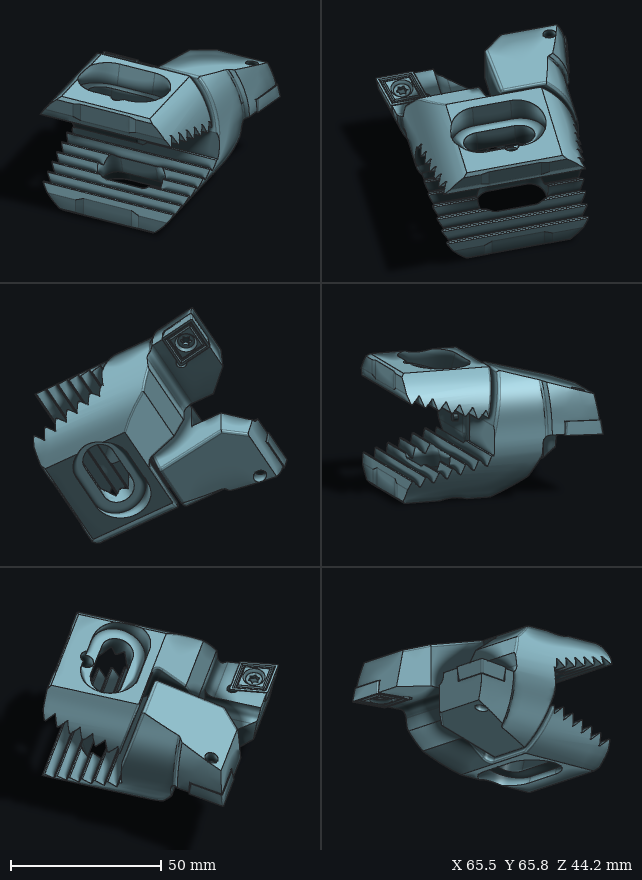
import cadquery as cq
import math


body_radius = 27.5
body_offset = -0.5
half_height = 22.1
arm_side = -2.55
tilt = 15
heel_y = 28.95
rear_slope_z = -4.3
jaw_front_y = 31.9
corner_radius = 2.6
end_chamfer = 1.05
edge_round = 0.65
underside_round = 0.9

shoulder_y = 46.05
shoulder_top_z = 7.55
ramp_y = 42.4
ramp_z = 14.5
ramp_start_y = 31.45
floor_z = -0.3
floor_round = 3.15
tip_y = 65.4
tip_low_y = 63.8
tip_low_z = -13.15
neck_y = 46.9
neck_round = 1.1
cone_y = 48.8
cone_radius = 28.95
cone_end_radius = 31.5
side_chamfer_y = 57.25
low_floor_z = -4.3
low_floor_x = -8.8
low_wall_x = -13.0

tooth_pitch = 4.685
tooth_count = 7
root_along = 23.55
root_up = 16.0
tip_up = 12.8
root_flat = 0.25
tip_flat = 0.5

slot_x = -2.05
slot_along = 11.9
slot_spacing = 13.0
slot_radius = 5.5
recess_radius = 9.55
recess_floor_up = 21.05
jaw_hole_x = 0.2
jaw_hole_along = 3.35
jaw_hole_radius = 2.5

relief_half_width = 11.65
relief_floor_half_width = 8.95
relief_depth = 0.3

insert_side = 12.9
insert_lean = 10
insert_thickness = 4.75
insert_clearance = 7
insert_nose_radius = 0.4
insert_tip_x = -32.81
insert_tip_y = 65.8
land_width = 0.8
groove_width = 1.45
groove_depth = 0.45
seat_radius = 3.7
screw_radius = 2.2
head_radius = 2.8
screw_head_z = -1.05
screw_neck_z = -2.6
screw_end_z = -10.5
screw_chamfer = 0.25
socket_radius = 1.9
socket_root_radius = 1.4
socket_depth = 1.3
relief_hole_radius = 1.8
relief_hole_inset = 0.85

pin_x = -8.9
pin_radius = 1.25
pin_out = 1.65
pin_in = 3.95

tolerance = 0.05
far = 78.95
slope = math.tan(math.radians(tilt))
along_y, along_z = math.cos(math.radians(tilt)), -math.sin(math.radians(tilt))
insert_skew = insert_side * math.sin(math.radians(insert_lean))
insert_length = insert_side * math.cos(math.radians(insert_lean))
insert_x = insert_tip_x + (insert_side + insert_skew) / 2
insert_y = insert_tip_y - insert_length / 2


def from_tilted(along, up):
    """(Y, Z) of a point given in the tilted frame of the serrations."""
    return along * along_y - up * along_z, along * along_z + up * along_y


def tilted_plane(up):
    """Plane parallel to the serrations, facing the outer flat of the jaw."""
    y, z = from_tilted(0, up)
    return cq.Plane(origin=(0, y, z), xDir=(1, 0, 0), normal=(0, -along_z, along_y))


def to_tilted(y, z):
    """(up, along) in the tilted frame of a point in Y and Z."""
    return y * -along_z + z * along_y, y * along_y + z * along_z


def turned_body():
    """Round outside of the holder: cylinder, neck and flared arm."""
    round_rise = neck_round * (1 - math.sqrt(0.5))
    round_run = neck_round * math.sqrt(0.5)
    outline = (
        cq.Workplane("XY")
        .lineTo(body_radius, 0)
        .lineTo(body_radius, neck_y)
        .radiusArc((body_radius + round_rise, neck_y + round_run), neck_round)
        .lineTo(cone_radius, cone_y)
        .lineTo(cone_end_radius, insert_tip_y)
        .lineTo(0, insert_tip_y)
        .close()
    )
    body = outline.revolve(360, (0, 0), (0, 1))
    return body.translate((body_offset, 0, 0))


def side_prism():
    """Side outline of arm and jaw without teeth, extruded across X."""
    rear_low_z = tip_low_z - slope * (tip_low_y - heel_y) + slope**2 * rear_slope_z
    rear_low_z = rear_low_z / (1 + slope**2)
    rear_low_y = heel_y - slope * (rear_low_z - rear_slope_z)
    arc_mid = floor_round * (1 - math.sqrt(0.5))
    outline = (
        cq.Workplane("YZ")
        .moveTo(0, 0)
        .lineTo(0, half_height - end_chamfer)
        .lineTo(end_chamfer, half_height)
        .lineTo(ramp_start_y, half_height)
        .lineTo(ramp_y, ramp_z)
        .lineTo(shoulder_y, shoulder_top_z)
        .lineTo(shoulder_y, floor_z + floor_round)
        .threePointArc(
            (shoulder_y + arc_mid, floor_z + arc_mid), (shoulder_y + floor_round, floor_z)
        )
        .lineTo(tip_y, floor_z)
        .lineTo(tip_low_y, tip_low_z)
        .lineTo(rear_low_y, rear_low_z)
        .lineTo(heel_y, rear_slope_z)
        .lineTo(heel_y, 0)
        .close()
    )
    return outline.extrude(far, both=True)


def tooth_cutter():
    """Everything between the jaws, with the serrated upper boundary."""
    flank = (tooth_pitch - root_flat - tip_flat) / 2
    points = [(heel_y, from_tilted(root_along + root_flat / 2 + flank, tip_up)[1])]
    for i in range(tooth_count):
        root = root_along - i * tooth_pitch
        points.append(from_tilted(root + root_flat / 2 + flank, tip_up))
        points.append(from_tilted(root + root_flat / 2, root_up))
        points.append(from_tilted(root - root_flat / 2, root_up))
        points.append(from_tilted(root - root_flat / 2 - flank, tip_up))
    points += [(points[-1][0], -half_height), (heel_y, -half_height)]
    return cq.Workplane("YZ").polyline(points).close().extrude(far, both=True)


def opposite_arm_space():
    """Space beside the arm and in front of the jaw, where the other holder's arm sits."""
    _, base_along = to_tilted(jaw_front_y, half_height)
    space = (
        cq.Workplane(tilted_plane(0))
        .moveTo(arm_side, far)
        .lineTo(arm_side, base_along + corner_radius)
        .radiusArc((arm_side + corner_radius, base_along), -corner_radius)
        .lineTo(far, base_along)
        .lineTo(far, far)
        .close()
    )
    return space.extrude(far, both=True)


def corner_cut():
    """45 degree cut on the inner corner of the arm tip."""
    run = insert_tip_y + 0.65 - side_chamfer_y
    corner = [
        (arm_side, side_chamfer_y), (arm_side - run, side_chamfer_y + run),
        (arm_side + run, side_chamfer_y + run), (arm_side + run, side_chamfer_y),
    ]
    return cq.Workplane("XY").polyline(corner).close().extrude(far, both=True)


def low_floor_cut():
    """Lower floor beside the inner side of the arm, with a round along its wall."""
    round_radius = low_floor_x - low_wall_x
    profile = (
        cq.Workplane("XZ", origin=(0, shoulder_y, 0))
        .moveTo(low_wall_x, low_floor_z + round_radius)
        .radiusArc((low_floor_x, low_floor_z), -round_radius)
        .lineTo(0, low_floor_z)
        .lineTo(0, half_height)
        .lineTo(low_wall_x, half_height)
        .close()
    )
    return profile.extrude(-far)


def clamping_slot():
    """Through slot with a wider recess for the clamping screw head."""
    slot = (
        cq.Workplane(tilted_plane(0))
        .center(slot_x, slot_along)
        .slot2D(slot_spacing + 2 * slot_radius, 2 * slot_radius)
        .extrude(far)
    )
    recess = (
        cq.Workplane(tilted_plane(recess_floor_up))
        .center(slot_x, slot_along)
        .slot2D(slot_spacing + 2 * recess_radius, 2 * recess_radius)
        .extrude(far)
    )
    return slot.union(recess)


def jaw_hole():
    """Hole through the jaw beside the slot, square to the serrations."""
    plane = cq.Workplane(tilted_plane(0)).center(jaw_hole_x, jaw_hole_along)
    return plane.circle(jaw_hole_radius).extrude(far)


def end_relief():
    """Shallow relief across the middle of the jaw end."""
    half_floor = relief_floor_half_width
    relief = [
        (-relief_half_width, 0), (-half_floor, relief_depth),
        (half_floor, relief_depth), (relief_half_width, 0),
    ]
    prism = cq.Workplane("XY").polyline(relief).close().extrude(half_height)
    return prism.translate((body_offset, 0, 0))


def rhombus(inset, z):
    """Workplane at height z with the insert's rhombus drawn, shrunk by inset on every side."""
    side = insert_side - 2 * inset / math.cos(math.radians(insert_lean))
    half_skew = side / 2 * math.sin(math.radians(insert_lean))
    half_length = side / 2 * math.cos(math.radians(insert_lean))
    corners = [
        (-side / 2 - half_skew, half_length), (side / 2 - half_skew, half_length),
        (side / 2 + half_skew, -half_length), (-side / 2 + half_skew, -half_length),
    ]
    return cq.Workplane("XY", origin=(insert_x, insert_y, z)).polyline(corners).close()


def insert_blank():
    """Plain tapered rhombic plate."""
    blank = rhombus(0, 0).extrude(-insert_thickness, taper=insert_clearance)
    return blank.edges("not(<Z or >Z)").fillet(insert_nose_radius)


def screw_blank():
    """Countersunk head and shank, without the drive socket."""
    profile = [
        (0, screw_head_z), (head_radius, screw_head_z), (screw_radius, screw_neck_z),
        (screw_radius, screw_end_z + screw_chamfer), (screw_radius - screw_chamfer, screw_end_z),
        (0, screw_end_z),
    ]
    screw = cq.Workplane("XZ").polyline(profile).close().revolve(360, (0, 0), (0, 1))
    return screw.translate((insert_x, insert_y, 0))


def sloped_rhombus(top_inset, floor_inset):
    """Rhombic block of the chip groove's depth with sides sloping between two insets."""
    top = rhombus(top_inset, 0).val()
    floor = rhombus(floor_inset, -groove_depth).val()
    return cq.Workplane(cq.Solid.makeLoft([top, floor], True))


def make_insert():
    """Cutting insert with a chip groove around its screw seat."""
    island_inset = land_width + groove_width
    groove = sloped_rhombus(land_width, land_width + groove_depth)
    island = sloped_rhombus(island_inset, island_inset - groove_depth)
    seat = (
        cq.Workplane("XY", origin=(insert_x, insert_y, 0))
        .circle(seat_radius)
        .workplane(offset=screw_head_z)
        .circle(head_radius)
        .loft(ruled=True)
    )
    return insert_blank().cut(groove.cut(island)).cut(seat).cut(screw_blank())


def make_screw():
    """Insert screw with a six-lobed socket."""
    points = []
    for i in range(6):
        for radius, angle in ((socket_radius, 60 * i), (socket_root_radius, 60 * i + 30)):
            turn = math.radians(angle)
            points.append((radius * math.cos(turn), radius * math.sin(turn)))
    socket = (
        cq.Workplane("XY", origin=(insert_x, insert_y, screw_head_z))
        .spline(points, periodic=True)
        .close()
        .extrude(-socket_depth)
    )
    return screw_blank().cut(socket)


def screw_hole():
    """Threaded hole through the arm, drawn at the screw's diameter."""
    return cq.Workplane("XY", origin=(insert_x, insert_y, 0)).circle(screw_radius).extrude(-far)


def insert_pocket():
    """Straight-walled pocket that the top outline of the insert fits."""
    return rhombus(0, 0).extrude(-insert_thickness)


def pocket_corner_relief():
    """Round relief at the inner corner of the insert pocket."""
    x = insert_x + (insert_side + insert_skew) / 2 - relief_hole_inset
    y = insert_y - insert_length / 2 + relief_hole_inset
    return cq.Workplane("XY", origin=(x, y, -insert_thickness)).circle(relief_hole_radius).extrude(insert_thickness)


def make_pin():
    """Pin standing out of the back of the arm."""
    plane = cq.Workplane("XZ", origin=(pin_x, heel_y - pin_out, 0))
    return plane.circle(pin_radius).extrude(-(pin_out + pin_in))


def edges_where(body, kind, test):
    """Edges of one curve kind whose centre passes the test."""
    return body.edges("%" + kind).filter(lambda edge: test(edge.Center())).vals()


def on_arm_side(point):
    """Whether a point lies on the inner side of the arm."""
    return abs(point.x - arm_side) < tolerance


def round_outer_edges(body):
    """Round where the ramps and the jaw front meet the turned outside."""
    ramps = edges_where(
        body, "ELLIPSE", lambda c: c.x < arm_side and c.y > ramp_start_y and c.z > shoulder_top_z
    )
    jaw_front = edges_where(
        body, "ELLIPSE", lambda c: c.x > 0 and c.y > heel_y and c.z < half_height - end_chamfer
    )
    return body.newObject(ramps + jaw_front).fillet(edge_round)


def round_underside(body):
    """Round the arm's sloped rear face and its inner edges below and behind."""
    rear_limit_y = (ramp_start_y + ramp_y) / 2
    rear = [
        edge
        for kind in ("LINE", "ELLIPSE")
        for edge in edges_where(
            body, kind, lambda c: heel_y + tolerance < c.y < rear_limit_y and c.z < rear_slope_z
        )
    ]
    inner = edges_where(body, "LINE", lambda c: c.x > low_floor_x and c.z < tip_low_z)
    back = edges_where(
        body, "LINE", lambda c: on_arm_side(c) and c.y < heel_y + tolerance and c.z < 0
    )
    return body.newObject(rear + inner + back).fillet(underside_round)


def round_inner_ramp_edges(body):
    """Round the inner side of the ramps and on around the corner to the jaw."""
    straight = edges_where(
        body, "LINE", lambda c: on_arm_side(c) and c.y > jaw_front_y and c.z > shoulder_top_z
    )
    corner = edges_where(
        body, "ELLIPSE", lambda c: arm_side < c.x < arm_side + corner_radius and c.z > ramp_z
    )
    return body.newObject(straight + corner).fillet(edge_round)


def make_holder():
    """Holder common to both sides: serrated jaw and cutting arm."""
    holder = turned_body().intersect(side_prism())
    for cutter in (tooth_cutter(), opposite_arm_space(), corner_cut()):
        holder = holder.cut(cutter)
    for rounding in (round_outer_edges, round_underside, round_inner_ramp_edges):
        holder = rounding(holder)
    for cutter in (
        clamping_slot(), end_relief(), insert_pocket(), pocket_corner_relief(), screw_hole(),
    ):
        holder = holder.cut(cutter)
    return holder


def turned_over(body):
    """The same body turned half a turn about the boring axis."""
    return body.rotate((0, 0, 0), (0, 1, 0), 180)


holder = make_holder()
insert = make_insert()
screw = make_screw()
pin = make_pin()
first_holder = holder.cut(low_floor_cut()).cut(jaw_hole()).cut(pin)

result = cq.Compound.makeCompound([
    first_holder.val(), turned_over(holder).val(), insert.val(), turned_over(insert).val(),
    screw.val(), turned_over(screw).val(), pin.val(),
])